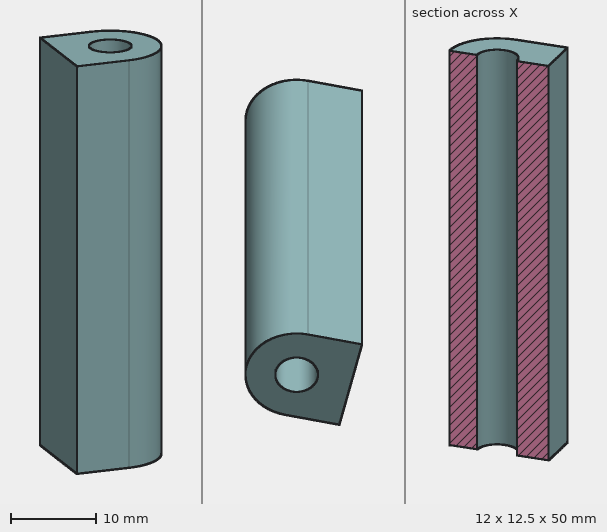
import cadquery as cq

length = 50.0
width = 12.0
depth = 12.5
bore_diameter = 5.0

round_radius = width / 2
flat_depth = depth - round_radius

profile = (
    cq.Workplane("XY")
    .moveTo(-round_radius, 0)
    .lineTo(-round_radius, -flat_depth)
    .lineTo(round_radius, -flat_depth)
    .lineTo(round_radius, 0)
    .threePointArc((0, round_radius), (-round_radius, 0))
    .close()
)
body = profile.extrude(length)

result = body.faces(">Z").workplane(origin=(0, 0, length)).hole(bore_diameter)